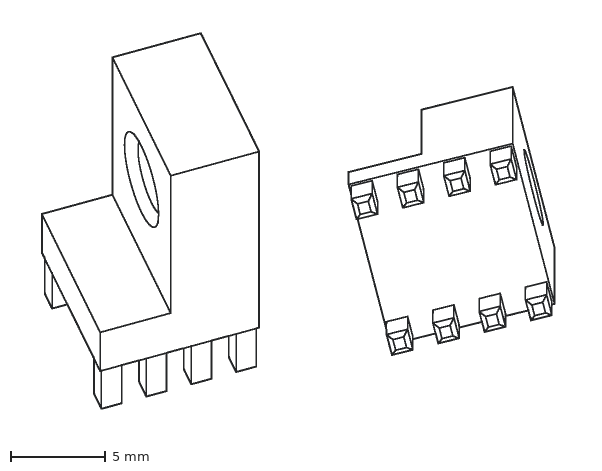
import cadquery as cq

total_height = 17.5
width = 9.0
depth = 9.0

pin_length = 3.5
base_height = 3.08
wall_thickness = 5.0
body_height = total_height - pin_length

hole_diameter = 4.13
countersink_diameter = 5.25
countersink_angle = 90.0
hole_drop = 5.0

pin_size = 1.15
pin_pitch = 2.54
pins_per_column = 4
tip_length = 0.33
tip_inset = 0.28
column_spacing = (pins_per_column - 1) * pin_pitch


def make_body():
    """L-shaped body standing on Z = 0, with the wall at the +Y end."""
    front = -depth / 2
    back = depth / 2
    wall_front = back - wall_thickness
    profile = [
        (front, 0),
        (back, 0),
        (back, body_height),
        (wall_front, body_height),
        (wall_front, base_height),
        (front, base_height),
    ]
    body = cq.Workplane("YZ").polyline(profile).close().extrude(width / 2, both=True)
    return (
        body.copyWorkplane(cq.Workplane("XZ", origin=(0, wall_front, body_height - hole_drop)))
        .cskHole(hole_diameter, countersink_diameter, countersink_angle)
    )


def make_pin():
    """Square pin hanging below Z = 0, tapered on all four sides at its tip."""
    pin = cq.Workplane("XY").rect(pin_size, pin_size).extrude(-pin_length)
    return pin.faces("<Z").chamfer(tip_length, tip_inset)


result = make_body()
pin = make_pin()
for x in (-column_spacing / 2, column_spacing / 2):
    for row in range(pins_per_column):
        y = -column_spacing / 2 + row * pin_pitch
        result = result.union(pin.translate((x, y, 0)))